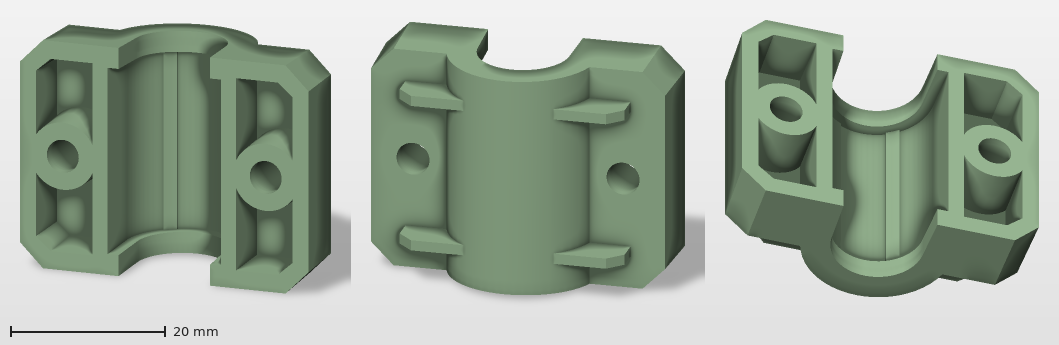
import cadquery as cq
import math

DRAFT = 2.0
SLOPE = math.tan(math.radians(DRAFT))

BASE_DEPTH = 9.0
BASE_WIDTH = 39.2
BASE_HEIGHT = 30.0
CORNER_CHAMFER = 3.0

BASE_FLARE = BASE_DEPTH * SLOPE
FACE_WIDTH = BASE_WIDTH + 2 * BASE_FLARE
FACE_HEIGHT = BASE_HEIGHT + 2 * BASE_FLARE
FACE_CHAMFER = CORNER_CHAMFER + BASE_FLARE * (2 - math.sqrt(2))

AXIS_Y = 6.0
SADDLE_RADIUS = 10.0
BODY_DEPTH = AXIS_Y + SADDLE_RADIUS

BORE_RADIUS = 6.1
SEAT_RADIUS = 7.6
SEAT_HEIGHT = 25.0
GRIP_HEIGHT = 0.35
GRIP_INNER_X = 3.0
GRIP_OUTER_X = 4.55

RIB_WIDTH = 30.0
RIB_TOP_Y = 14.0
RIB_CHAMFER = 2.0
RIB_THICKNESS = 1.4
RIB_SPACING = 20.0

HOLLOW_DEPTH = 7.0
HOLLOW_INNER_X = 9.9
HOLLOW_OUTER_X = 17.72
HOLLOW_HEIGHT = 25.8
HOLLOW_CHAMFER_X = 2.05
HOLLOW_CHAMFER_Z = 1.8

SCREW_X = 14.0
BOSS_RADIUS = 4.5
HOLE_DIAMETER = 4.4


def front_sketch():
    """Sketch on the mating face: local x is Z, local y is X, and it extrudes towards +Y."""
    return cq.Workplane("ZX")


def drafted_slab(height_at_front, width):
    """Slab from y = 0 to the saddle crown whose Z faces close in with depth."""
    front = height_at_front / 2
    back = front - BODY_DEPTH * SLOPE
    return (
        cq.Workplane("YZ")
        .polyline([(0, -front), (BODY_DEPTH, -back), (BODY_DEPTH, back), (0, front)])
        .close()
        .extrude(width / 2, both=True)
    )


def make_base():
    x = FACE_WIDTH / 2
    z = FACE_HEIGHT / 2
    cut_x = x - FACE_CHAMFER
    cut_z = z - FACE_CHAMFER
    return (
        front_sketch()
        .moveTo(-z, -cut_x)
        .lineTo(-z, cut_x)
        .lineTo(-cut_z, x)
        .lineTo(cut_z, x)
        .lineTo(z, cut_x)
        .lineTo(z, -cut_x)
        .lineTo(cut_z, -x)
        .lineTo(-cut_z, -x)
        .close()
        .extrude(BASE_DEPTH, taper=DRAFT)
    )


def make_saddle():
    cylinder = (
        cq.Workplane("XY")
        .center(0, AXIS_Y)
        .circle(SADDLE_RADIUS)
        .extrude(BASE_HEIGHT, both=True)
    )
    return cylinder.intersect(drafted_slab(FACE_HEIGHT, BASE_WIDTH))


def make_rib(z):
    x = RIB_WIDTH / 2
    shoulder_y = RIB_TOP_Y - RIB_CHAMFER
    crown_x = x - RIB_CHAMFER
    return (
        cq.Workplane("XY", origin=(0, 0, z - RIB_THICKNESS / 2))
        .moveTo(-x, AXIS_Y)
        .lineTo(x, AXIS_Y)
        .lineTo(x, shoulder_y)
        .lineTo(crown_x, RIB_TOP_Y)
        .lineTo(-crown_x, RIB_TOP_Y)
        .lineTo(-x, shoulder_y)
        .close()
        .extrude(RIB_THICKNESS)
    )


def make_channel(radius):
    """Round-topped channel along Z whose side walls flare towards the mating face."""
    mouth_x = radius + AXIS_Y * SLOPE
    return (
        cq.Workplane("XY")
        .moveTo(-mouth_x, 0)
        .lineTo(-radius, AXIS_Y)
        .threePointArc((0, AXIS_Y + radius), (radius, AXIS_Y))
        .lineTo(mouth_x, 0)
        .close()
        .extrude(BASE_HEIGHT, both=True)
    )


def make_grip(side):
    """Strip of the seat's crown that stays proud to grip the bearing."""
    ring = (
        cq.Workplane("XY")
        .center(0, AXIS_Y)
        .circle(SEAT_RADIUS)
        .circle(SEAT_RADIUS - GRIP_HEIGHT)
        .extrude(BASE_HEIGHT, both=True)
    )
    strip = (
        cq.Workplane("XY")
        .center(side * (GRIP_INNER_X + GRIP_OUTER_X) / 2, AXIS_Y + SADDLE_RADIUS / 2)
        .rect(GRIP_OUTER_X - GRIP_INNER_X, SADDLE_RADIUS)
        .extrude(BASE_HEIGHT, both=True)
    )
    return ring.intersect(strip)


def make_seat():
    seat = make_channel(SEAT_RADIUS).intersect(drafted_slab(SEAT_HEIGHT, BASE_WIDTH))
    for side in (-1, 1):
        seat = seat.cut(make_grip(side))
    return seat


def make_hollow(side):
    """Drafted hollow around a screw boss."""
    z = HOLLOW_HEIGHT / 2
    inner = side * HOLLOW_INNER_X
    outer = side * HOLLOW_OUTER_X
    cut_x = side * (HOLLOW_OUTER_X - HOLLOW_CHAMFER_X)
    cut_z = z - HOLLOW_CHAMFER_Z
    pocket = (
        front_sketch()
        .moveTo(-z, inner)
        .lineTo(-z, cut_x)
        .lineTo(-cut_z, outer)
        .lineTo(cut_z, outer)
        .lineTo(z, cut_x)
        .lineTo(z, inner)
        .close()
        .extrude(HOLLOW_DEPTH, taper=DRAFT)
    )
    boss = cq.Workplane(
        cq.Solid.makeCone(
            BOSS_RADIUS,
            BOSS_RADIUS + HOLLOW_DEPTH * SLOPE,
            HOLLOW_DEPTH,
            pnt=cq.Vector(side * SCREW_X, 0, 0),
            dir=cq.Vector(0, 1, 0),
        )
    )
    return pocket.cut(boss)


def make_screw_hole(side):
    return (
        front_sketch()
        .center(0, side * SCREW_X)
        .circle(HOLE_DIAMETER / 2)
        .extrude(BASE_DEPTH)
    )


result = make_base().union(make_saddle())
for rib_z in (-RIB_SPACING / 2, RIB_SPACING / 2):
    result = result.union(make_rib(rib_z))
result = result.cut(make_channel(BORE_RADIUS)).cut(make_seat())
for screw_side in (-1, 1):
    result = result.cut(make_hollow(screw_side)).cut(make_screw_hole(screw_side))